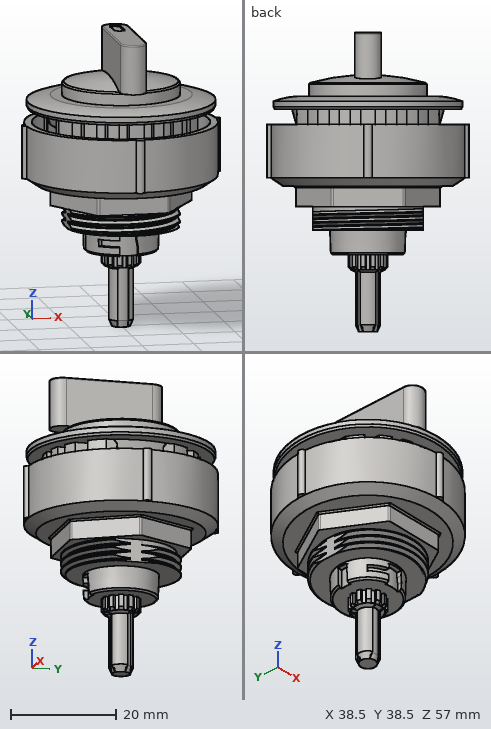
import cadquery as cq
import math

SHAFT_TIP_TOP_Z = 1.35
SHAFT_TOP_Z = 11.4
SPLINE_BOTTOM_Z = 11.8
SPLINE_BEVEL_Z = 12.35
SOCKET_BOTTOM_Z = 14.7
SLOT_TOP_Z = 18.9
THREAD_BOTTOM_Z = 19.4
HEX_BOTTOM_Z = 23.8
HEX_FLARE_Z = 27.4
CUP_BOTTOM_Z = 27.75
CUP_FLOOR_Z = 29.3
CUP_TOP_Z = 39.5
BEZEL_BOTTOM_Z = 42.35
BEZEL_TOP_Z = 44.85
DISC_EDGE_Z = 47.1
KNOB_BOTTOM_Z = 47.4
DOME_TOP_Z = 48.95
KNOB_TOP_Z = 57.0

KNOB_WIDTH = 5.1
KNOB_BACK_Y = 8.05
KNOB_FRONT_Y = -14.1
KNOB_EDGE_RADIUS = 0.2
MARK_WIDTH = 2.0
MARK_BACK_Y = 6.6
MARK_FRONT_Y = 0.5
MARK_DEPTH = 0.3

DISC_RADIUS = 22.5 / 2
DOME_RADIUS = 10.95

BEZEL_RADIUS = 36.0 / 2
BEZEL_FLAT_RADIUS = 13.5
BEZEL_CROWN = (15.95, 44.5)
BEZEL_RIM_TOP_Z = 43.9
BEZEL_RIM_BOTTOM_Z = 42.85
BEZEL_BOTTOM_RADIUS = 35.5 / 2

NECK_RADIUS = 15.1
NECK_HALF_WIDTH = 13.5
NECK_CENTRE_TOOTH = 2.85
NECK_TOOTH = 2.1
NECK_RECESS = 1.95
NECK_RECESS_COUNT = 3
NECK_CORE_RADIUS = 13.1
NECK_SIDE_POCKET = 9.1
NECK_SIDE_POCKET_DEPTH = 0.15
FLARE_TOP_RADIUS = 14.5
FLARE_BOTTOM_RADIUS = 13.7
KEY_WIDTH = NECK_CENTRE_TOOTH
KEY_REACH = 16.75

CUP_RADIUS = 18.45
CUP_BORE_RADIUS = 34.0 / 2
CUP_BOTTOM_RADIUS = 16.2
RIB_COUNT = 4
RIB_REACH = 38.5 / 2
RIB_RADIUS = 0.85

HEX_ACROSS_FLATS = 23.95
HEX_CORNER_RADIUS = 0.5
HEX_FLARE = 0.35

THREAD_RADIUS = 11.45
THREAD_ROOT_RADIUS = 10.6
THREAD_FLAT_HALF_WIDTH = 10.55
THREAD_PITCH = 1.5
THREAD_CREST = 0.2
THREAD_BASE = 1.4
THREAD_BASE_RADIUS = 10.45
THREAD_TURNS = 4
THREAD_START_Z = 17.7

SOCKET_TOP_RADIUS = 14.55 / 2
SOCKET_RADIUS = 7.1
SOCKET_CHAMFER = 0.4
SLOT_FLOOR_RADIUS = 6.2
ENTRY_HALF_WIDTH = 1.65
ENTRY_MOUTH = 1.95
ENTRY_SLOPE_TOP_Z = 17.85
LOCK_BOTTOM_Z = 16.5
LOCK_SWEEP = 48.0
SIDE_SLOT_WIDTH = 2.3

SPLINE_RADIUS = 3.75
SPLINE_ROOT_RADIUS = 3.25
SPLINE_TEETH = 12
SPLINE_GAP_ROOT = 0.7
SPLINE_GAP_MOUTH = 1.1
SPLINE_BEVEL = 0.55
SHAFT_RADIUS = 4.75 / 2
SHAFT_TIP_RADIUS = 1.75
SHAFT_CORE_RADIUS = 2.0
FRONT_GROOVE_WIDTH = 2.05
SIDE_GROOVE_WIDTH = 1.4
SIDE_GROOVE_ANGLE = 125.0


def turned(profile):
    """Revolve a closed (radius, z) outline about the Z axis."""
    return cq.Workplane("XZ").polyline(profile).close().revolve(360, (0, 0), (0, 1))


def cylinder(radius, bottom, top):
    return cq.Workplane("XY").workplane(offset=bottom).circle(radius).extrude(top - bottom)


def block(x_range, y_range, z_range):
    """Box given by its limits along each axis."""
    size = [high - low for low, high in (x_range, y_range, z_range)]
    corner = (x_range[0], y_range[0], z_range[0])
    return cq.Workplane("XY").box(*size, centered=False).translate(corner)


def around_z(shape, count):
    """Copies of a shape spread evenly about the Z axis, as one body."""
    copies = shape
    for index in range(1, count):
        copies = copies.union(shape.rotate((0, 0, 0), (0, 0, 1), index * 360 / count))
    return copies


def make_knob():
    centre_y = (KNOB_BACK_Y + KNOB_FRONT_Y) / 2
    bar = (
        cq.Workplane("XY", origin=(0, centre_y, KNOB_BOTTOM_Z))
        .slot2D(KNOB_BACK_Y - KNOB_FRONT_Y, KNOB_WIDTH, 90)
        .extrude(KNOB_TOP_Z - KNOB_BOTTOM_Z)
        .faces(">Z").edges().fillet(KNOB_EDGE_RADIUS)
    )
    mark = (
        cq.Workplane("XY", origin=(0, (MARK_BACK_Y + MARK_FRONT_Y) / 2, KNOB_TOP_Z))
        .slot2D(MARK_BACK_Y - MARK_FRONT_Y, MARK_WIDTH, 90)
        .extrude(-MARK_DEPTH)
    )
    return bar.cut(mark)


def make_disc():
    rise = DOME_TOP_Z - KNOB_BOTTOM_Z
    sphere_radius = (DOME_RADIUS**2 + rise**2) / (2 * rise)
    middle = DOME_RADIUS / 2
    middle_z = DOME_TOP_Z - sphere_radius + math.sqrt(sphere_radius**2 - middle**2)
    return (
        cq.Workplane("XZ")
        .moveTo(0, BEZEL_BOTTOM_Z)
        .lineTo(DISC_RADIUS, BEZEL_BOTTOM_Z)
        .lineTo(DISC_RADIUS, DISC_EDGE_Z)
        .lineTo(DOME_RADIUS, KNOB_BOTTOM_Z)
        .threePointArc((middle, middle_z), (0, DOME_TOP_Z))
        .close()
        .revolve(360, (0, 0), (0, 1))
    )


def make_bezel():
    return (
        cq.Workplane("XZ")
        .moveTo(0, BEZEL_BOTTOM_Z)
        .lineTo(BEZEL_BOTTOM_RADIUS, BEZEL_BOTTOM_Z)
        .lineTo(BEZEL_RADIUS, BEZEL_RIM_BOTTOM_Z)
        .lineTo(BEZEL_RADIUS, BEZEL_RIM_TOP_Z)
        .threePointArc(BEZEL_CROWN, (BEZEL_FLAT_RADIUS, BEZEL_TOP_Z))
        .lineTo(0, BEZEL_TOP_Z)
        .close()
        .revolve(360, (0, 0), (0, 1))
    )


def make_neck():
    height = (CUP_FLOOR_Z, BEZEL_BOTTOM_Z)
    sides = (-NECK_HALF_WIDTH, NECK_HALF_WIDTH)
    neck = cylinder(NECK_RADIUS, *height).intersect(block(sides, (-NECK_RADIUS, NECK_RADIUS), height))

    core = cylinder(NECK_CORE_RADIUS, *height)
    for index in range(NECK_RECESS_COUNT):
        inner_x = NECK_CENTRE_TOOTH / 2 + index * (NECK_RECESS + NECK_TOOTH)
        recess = block((inner_x, inner_x + NECK_RECESS), (-NECK_RADIUS, NECK_RADIUS), height).cut(core)
        neck = neck.cut(recess).cut(recess.mirror("YZ"))

    pocket_y = (-NECK_SIDE_POCKET / 2, NECK_SIDE_POCKET / 2)
    pocket = block((NECK_HALF_WIDTH - NECK_SIDE_POCKET_DEPTH, NECK_HALF_WIDTH), pocket_y, height)
    neck = neck.cut(pocket).cut(pocket.mirror("YZ"))
    flare = turned([
        (0, CUP_TOP_Z),
        (FLARE_BOTTOM_RADIUS, CUP_TOP_Z),
        (FLARE_TOP_RADIUS, BEZEL_BOTTOM_Z),
        (0, BEZEL_BOTTOM_Z),
    ])
    flare_span = (-FLARE_TOP_RADIUS, FLARE_TOP_RADIUS)
    flare_depth = math.sqrt(FLARE_TOP_RADIUS**2 - NECK_HALF_WIDTH**2)
    flare = flare.intersect(block(flare_span, (-flare_depth, flare_depth), height))

    key = block((-KEY_WIDTH / 2, KEY_WIDTH / 2), (0, KEY_REACH), height)
    return neck.union(flare).union(key)


def make_cup():
    shell = turned([
        (0, CUP_BOTTOM_Z),
        (CUP_BOTTOM_RADIUS, CUP_BOTTOM_Z),
        (CUP_RADIUS, CUP_FLOOR_Z),
        (CUP_RADIUS, CUP_TOP_Z),
        (CUP_BORE_RADIUS, CUP_TOP_Z),
        (CUP_BORE_RADIUS, CUP_FLOOR_Z),
        (0, CUP_FLOOR_Z),
    ])
    rib = cylinder(RIB_RADIUS, CUP_FLOOR_Z, CUP_TOP_Z).translate((RIB_REACH - RIB_RADIUS, 0, 0))
    return shell.union(around_z(rib, RIB_COUNT))


def make_hexagon():
    across_corners = HEX_ACROSS_FLATS / math.cos(math.pi / 6)
    prism = (
        cq.Workplane("XY").workplane(offset=HEX_BOTTOM_Z)
        .polygon(6, across_corners)
        .extrude(CUP_BOTTOM_Z - HEX_BOTTOM_Z)
        .edges("|Z").fillet(HEX_CORNER_RADIUS)
    )
    flare_angle = math.degrees(math.atan(HEX_FLARE / (CUP_BOTTOM_Z - HEX_FLARE_Z)))
    flare = (
        cq.Workplane("XY").workplane(offset=HEX_FLARE_Z)
        .polygon(6, across_corners)
        .extrude(CUP_BOTTOM_Z - HEX_FLARE_Z, taper=-flare_angle)
    )
    return prism.union(flare)


def make_thread():
    core = cylinder(THREAD_ROOT_RADIUS, THREAD_BOTTOM_Z, HEX_BOTTOM_Z)
    helix = cq.Wire.makeHelix(THREAD_PITCH, THREAD_TURNS * THREAD_PITCH, THREAD_BASE_RADIUS)
    ridge = (
        cq.Workplane("XZ")
        .moveTo(THREAD_BASE_RADIUS, -THREAD_BASE / 2)
        .lineTo(THREAD_RADIUS, -THREAD_CREST / 2)
        .lineTo(THREAD_RADIUS, THREAD_CREST / 2)
        .lineTo(THREAD_BASE_RADIUS, THREAD_BASE / 2)
        .close()
        .sweep(cq.Workplane(helix), isFrenet=True)
        .translate((0, 0, THREAD_START_Z))
    )
    flats = block(
        (-THREAD_FLAT_HALF_WIDTH, THREAD_FLAT_HALF_WIDTH),
        (-THREAD_RADIUS, THREAD_RADIUS),
        (THREAD_BOTTOM_Z, HEX_BOTTOM_Z),
    )
    return core.union(ridge.intersect(flats)).intersect(flats)


def make_socket():
    body = turned([
        (0, SOCKET_BOTTOM_Z),
        (SOCKET_RADIUS - SOCKET_CHAMFER, SOCKET_BOTTOM_Z),
        (SOCKET_RADIUS, SOCKET_BOTTOM_Z + SOCKET_CHAMFER),
        (SOCKET_TOP_RADIUS, THREAD_BOTTOM_Z),
        (0, THREAD_BOTTOM_Z),
    ])
    entry = (
        cq.Workplane("XZ")
        .moveTo(-ENTRY_HALF_WIDTH, SOCKET_BOTTOM_Z)
        .lineTo(-ENTRY_HALF_WIDTH, SLOT_TOP_Z)
        .lineTo(ENTRY_HALF_WIDTH, SLOT_TOP_Z)
        .lineTo(ENTRY_HALF_WIDTH, ENTRY_SLOPE_TOP_Z)
        .lineTo(ENTRY_MOUTH, LOCK_BOTTOM_Z)
        .lineTo(ENTRY_MOUTH, SOCKET_BOTTOM_Z)
        .close()
        .extrude(SOCKET_TOP_RADIUS)
    )
    lock = (
        cq.Workplane("XZ")
        .moveTo(0, LOCK_BOTTOM_Z)
        .lineTo(SOCKET_TOP_RADIUS, LOCK_BOTTOM_Z)
        .lineTo(SOCKET_TOP_RADIUS, ENTRY_SLOPE_TOP_Z)
        .lineTo(0, ENTRY_SLOPE_TOP_Z)
        .close()
        .revolve(LOCK_SWEEP, (0, 0), (0, 1))
        .rotate((0, 0, 0), (0, 0, 1), -90 - LOCK_SWEEP)
    )
    side = block(
        (-SOCKET_TOP_RADIUS, 0),
        (-SIDE_SLOT_WIDTH / 2, SIDE_SLOT_WIDTH / 2),
        (SOCKET_BOTTOM_Z, SLOT_TOP_Z),
    )
    slot_floor = cylinder(SLOT_FLOOR_RADIUS, SOCKET_BOTTOM_Z, SLOT_TOP_Z)
    return body.cut(entry.union(lock).union(side).cut(slot_floor))


def make_spline():
    body = turned([
        (0, SPLINE_BOTTOM_Z),
        (SPLINE_RADIUS - SPLINE_BEVEL, SPLINE_BOTTOM_Z),
        (SPLINE_RADIUS, SPLINE_BEVEL_Z),
        (SPLINE_RADIUS, SOCKET_BOTTOM_Z),
        (0, SOCKET_BOTTOM_Z),
    ])
    gap = (
        cq.Workplane("XY").workplane(offset=SPLINE_BOTTOM_Z)
        .moveTo(SPLINE_ROOT_RADIUS, -SPLINE_GAP_ROOT / 2)
        .lineTo(SPLINE_RADIUS, -SPLINE_GAP_MOUTH / 2)
        .lineTo(SPLINE_RADIUS, SPLINE_GAP_MOUTH / 2)
        .lineTo(SPLINE_ROOT_RADIUS, SPLINE_GAP_ROOT / 2)
        .close()
        .extrude(SOCKET_BOTTOM_Z - SPLINE_BOTTOM_Z)
    )
    return body.cut(around_z(gap, SPLINE_TEETH))


def make_shaft():
    pin = turned([
        (0, 0),
        (SHAFT_TIP_RADIUS, 0),
        (SHAFT_RADIUS, SHAFT_TIP_TOP_Z),
        (SHAFT_RADIUS, SHAFT_TOP_Z),
        (SPLINE_RADIUS - SPLINE_BEVEL, SPLINE_BOTTOM_Z),
        (0, SPLINE_BOTTOM_Z),
    ])
    core = turned([
        (0, 0),
        (SHAFT_TIP_RADIUS, 0),
        (SHAFT_CORE_RADIUS, SHAFT_TIP_TOP_Z),
        (SHAFT_CORE_RADIUS, SPLINE_BOTTOM_Z),
        (0, SPLINE_BOTTOM_Z),
    ])
    grooves = (
        (FRONT_GROOVE_WIDTH, 0),
        (SIDE_GROOVE_WIDTH, SIDE_GROOVE_ANGLE),
        (SIDE_GROOVE_WIDTH, -SIDE_GROOVE_ANGLE),
    )
    for width, angle in grooves:
        groove = block((-width / 2, width / 2), (-SPLINE_RADIUS, 0), (0, SPLINE_BOTTOM_Z))
        pin = pin.cut(groove.rotate((0, 0, 0), (0, 0, 1), angle).cut(core))
    return pin


result = (
    make_knob()
    .union(make_disc())
    .union(make_bezel())
    .union(make_neck())
    .union(make_cup())
    .union(make_hexagon())
    .union(make_thread())
    .union(make_socket())
    .union(make_spline())
    .union(make_shaft())
)